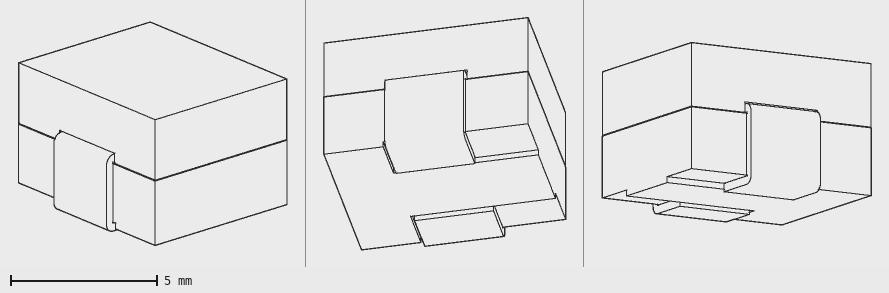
import cadquery as cq

length = 7.15
overall_width = 6.54
overall_height = 4.72

strap_thickness = 0.29
strap_width = 2.76
strap_top = 2.82
bend_radius = 0.335
foot_bend_radius = strap_thickness
foot_reach = 1.51

tunnel_side_clearance = 0.06
tunnel_top_clearance = 0.05
recess_clearance = 0.115
foot_top_clearance = 0.03

lower_core_width = overall_width - 2 * strap_thickness
upper_core_width = 5.935
core_bottom = 0.115
lower_core_top = 2.475
core_gap = 0.03
upper_core_bottom = lower_core_top + core_gap


def box_between(x_range, y_range, z_range):
    """Box spanning the given (low, high) limits on each axis."""
    sizes = [high - low for low, high in (x_range, y_range, z_range)]
    corner = (x_range[0], y_range[0], z_range[0])
    return cq.Workplane("XY").box(*sizes, centered=False).translate(corner)


core_x = (-length / 2, length / 2)
lower_core_y = (-lower_core_width / 2, lower_core_width / 2)
upper_core_y = (-upper_core_width / 2, upper_core_width / 2)
strap_x = (-strap_width / 2, strap_width / 2)


def make_upper_core():
    """Block with a tunnel through it along Y for the top of the strap."""
    block = box_between(core_x, upper_core_y, (upper_core_bottom, overall_height))
    tunnel_half_width = strap_width / 2 + tunnel_side_clearance
    tunnel = box_between(
        (-tunnel_half_width, tunnel_half_width),
        upper_core_y,
        (upper_core_bottom, strap_top + tunnel_top_clearance),
    )
    return block.cut(tunnel)


def make_lower_core():
    """Block with two foot recesses in its underside, open at the -X end."""
    block = box_between(core_x, lower_core_y, (core_bottom, lower_core_top))
    recess_x = (-length / 2, strap_width / 2 + recess_clearance)
    recess_z = (core_bottom, strap_thickness + foot_top_clearance)
    recess_depth = foot_reach + recess_clearance
    front_recess = box_between(recess_x, (lower_core_y[0], lower_core_y[0] + recess_depth), recess_z)
    back_recess = front_recess.mirror("XZ")
    return block.cut(front_recess).cut(back_recess)


def make_strap():
    """C-shaped strap: over the lower core, down both sides, feet turned inward."""
    strap_y = (-overall_width / 2, overall_width / 2)
    outside = box_between(strap_x, strap_y, (0, strap_top))
    outside = outside.edges("|X and >Z").fillet(bend_radius)
    outside = outside.edges("|X and <Z").fillet(foot_bend_radius)
    inside_y = (strap_y[0] + strap_thickness, strap_y[1] - strap_thickness)
    inside = box_between(strap_x, inside_y, (strap_thickness, strap_top - strap_thickness))
    foot_end = lower_core_width / 2 - foot_reach
    foot_opening = box_between(strap_x, (-foot_end, foot_end), (0, strap_thickness))
    return outside.cut(inside).cut(foot_opening)


upper_core = make_upper_core()
lower_core = make_lower_core()
strap = make_strap()

result = cq.Compound.makeCompound([upper_core.val(), lower_core.val(), strap.val()])